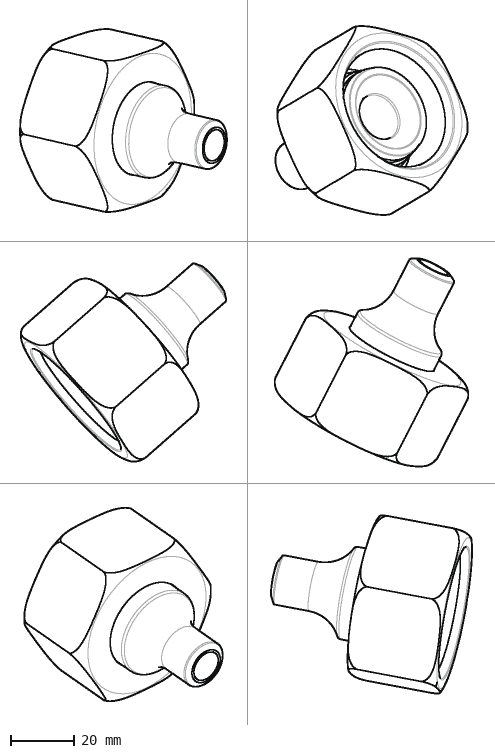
import cadquery as cq
import math


EDGE_FILLET = 0.45

RIM_REACH = 0.03

ACROSS_FLATS = 50.0
ACROSS_CORNERS = ACROSS_FLATS / math.cos(math.pi / 6)
NUT_LENGTH = 29.0
NUT_CORNER_ROUND = 4.5
BARREL_CLEARANCE = 0.03
THREAD_RADIUS = 39.8 / 2
MOUTH_RADIUS = 21.35
MOUTH_CHAMFER_LENGTH = 2.65
SEAT_RADIUS = 17.95
NECK_RADIUS = 30.2 / 2
SEAT_END = 24.55

TOTAL_LENGTH = 58.45
NOSE_START = 5.85
NOSE_FACE_RADIUS = 14.9
NOSE_FILLET = 0.25
NOSE_TAPER = math.radians(12)
COLLAR_RADIUS = 35.0 / 2
BODY_RADIUS = 29.95 / 2
BODY_END = 34.85
BODY_EDGE_FILLET = 1.0
TUBE_RADIUS = 16.0 / 2
TUBE_START = 45.9
TIP_RADIUS = 5.85
TIP_CHAMFER_LENGTH = 1.2

FUNNEL_RADIUS = 12.5
FUNNEL_ANGLE = math.radians(45)
BORE_RADIUS = 15.0 / 2
BORE_END = 36.25
BORE_EDGE_FILLET = 1.0
OUTLET_RADIUS = 10.05 / 2
OUTLET_CONE_ANGLE = math.radians(60)

GROOVE_FRONT_RADIUS = 15.5
GROOVE_BACK_RADIUS = 16.3
CORD_DIAMETER = 2.45
GROOVE_FLOOR_RADIUS = GROOVE_FRONT_RADIUS - CORD_DIAMETER


def nose_position(radius):
    """X position at which the nose taper has the given radius."""
    return NOSE_START + (radius - NOSE_FACE_RADIUS) / math.tan(NOSE_TAPER)


GROOVE_FRONT = nose_position(GROOVE_FRONT_RADIUS)
GROOVE_BACK = nose_position(GROOVE_BACK_RADIUS)
COLLAR_START = nose_position(COLLAR_RADIUS)
SEAT_START = SEAT_END - (SEAT_RADIUS - NECK_RADIUS)
COLLAR_END = SEAT_END - (COLLAR_RADIUS - NECK_RADIUS)
COLLAR_BACK_END = COLLAR_END + COLLAR_RADIUS - BODY_RADIUS


def revolve(profile):
    """Turn a closed (x, radius) profile about the X axis."""
    return profile.close().revolve(360, (0, 0, 0), (1, 0, 0))


def fillet_rim(body, x, radius, size):
    """Round the circular edge with the given position and radius."""
    reach = RIM_REACH
    rim = cq.selectors.BoxSelector(
        (x - reach, -radius - reach, -radius - reach),
        (x + reach, radius + reach, radius + reach),
        boundingbox=True,
    )
    inner = cq.selectors.BoxSelector(
        (x - reach, -radius + reach, -radius + reach),
        (x + reach, radius - reach, radius - reach),
        boundingbox=True,
    )
    return body.edges(rim - inner).fillet(size)


def make_nut():
    hexagon = cq.Workplane("YZ").polygon(6, ACROSS_CORNERS).extrude(NUT_LENGTH)
    barrel = cq.Workplane("YZ").circle(ACROSS_CORNERS / 2 + BARREL_CLEARANCE).extrude(NUT_LENGTH)
    barrel = barrel.edges("%CIRCLE").fillet(NUT_CORNER_ROUND)
    bore = revolve(
        cq.Workplane("XY")
        .lineTo(0, MOUTH_RADIUS)
        .lineTo(MOUTH_CHAMFER_LENGTH, THREAD_RADIUS)
        .lineTo(SEAT_START, THREAD_RADIUS)
        .lineTo(SEAT_START, SEAT_RADIUS)
        .lineTo(SEAT_END, NECK_RADIUS)
        .lineTo(NUT_LENGTH, NECK_RADIUS)
        .lineTo(NUT_LENGTH, 0)
    )
    nut = hexagon.intersect(barrel).cut(bore)
    return fillet_rim(nut, 0, MOUTH_RADIUS, EDGE_FILLET)


def make_nipple_blank():
    drop = BODY_RADIUS - TUBE_RADIUS
    run = TUBE_START - BODY_END
    neck_radius = (run**2 + drop**2) / (2 * drop)
    half_sweep = math.asin(run / neck_radius) / 2
    neck_middle = (
        TUBE_START - neck_radius * math.sin(half_sweep),
        TUBE_RADIUS + neck_radius * (1 - math.cos(half_sweep)),
    )
    blank = revolve(
        cq.Workplane("XY")
        .moveTo(NOSE_START, 0)
        .lineTo(NOSE_START, NOSE_FACE_RADIUS)
        .lineTo(GROOVE_FRONT, GROOVE_FRONT_RADIUS)
        .lineTo(GROOVE_FRONT, GROOVE_FLOOR_RADIUS)
        .lineTo(GROOVE_BACK, GROOVE_FLOOR_RADIUS)
        .lineTo(GROOVE_BACK, GROOVE_BACK_RADIUS)
        .lineTo(COLLAR_START, COLLAR_RADIUS)
        .lineTo(COLLAR_END, COLLAR_RADIUS)
        .lineTo(COLLAR_BACK_END, BODY_RADIUS)
        .lineTo(BODY_END, BODY_RADIUS)
        .threePointArc(neck_middle, (TUBE_START, TUBE_RADIUS))
        .lineTo(TOTAL_LENGTH - TIP_CHAMFER_LENGTH, TUBE_RADIUS)
        .lineTo(TOTAL_LENGTH, TIP_RADIUS)
        .lineTo(TOTAL_LENGTH, 0)
    )
    blank = fillet_rim(blank, NOSE_START, NOSE_FACE_RADIUS, NOSE_FILLET)
    blank = fillet_rim(blank, BODY_END, BODY_RADIUS, BODY_EDGE_FILLET)
    return fillet_rim(blank, TOTAL_LENGTH - TIP_CHAMFER_LENGTH, TUBE_RADIUS, EDGE_FILLET)


def make_nipple():
    funnel_end = NOSE_START + (FUNNEL_RADIUS - BORE_RADIUS) / math.tan(FUNNEL_ANGLE)
    outlet_start = BORE_END + (BORE_RADIUS - OUTLET_RADIUS) / math.tan(OUTLET_CONE_ANGLE)
    bore = revolve(
        cq.Workplane("XY")
        .moveTo(NOSE_START, 0)
        .lineTo(NOSE_START, FUNNEL_RADIUS)
        .lineTo(funnel_end, BORE_RADIUS)
        .lineTo(BORE_END, BORE_RADIUS)
        .lineTo(outlet_start, OUTLET_RADIUS)
        .lineTo(TOTAL_LENGTH, OUTLET_RADIUS)
        .lineTo(TOTAL_LENGTH, 0)
    )
    nipple = make_nipple_blank().cut(bore)
    nipple = fillet_rim(nipple, NOSE_START, FUNNEL_RADIUS, EDGE_FILLET)
    return fillet_rim(nipple, funnel_end, BORE_RADIUS, BORE_EDGE_FILLET)


def make_o_ring():
    cord_radius = CORD_DIAMETER / 2
    cord_centre = ((GROOVE_FRONT + GROOVE_BACK) / 2, GROOVE_FLOOR_RADIUS + cord_radius)
    section = cq.Workplane("XY").moveTo(*cord_centre).circle(cord_radius)
    return section.revolve(360, (0, 0, 0), (1, 0, 0))


nut = make_nut().solids()
nipple = make_nipple().solids()
o_ring = make_o_ring()

result = cq.Compound.makeCompound([nut.val(), nipple.val(), o_ring.val()])